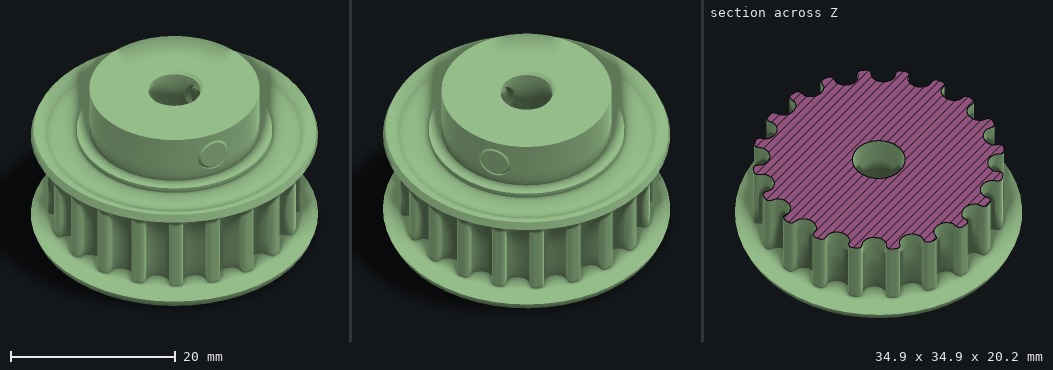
import cadquery as cq
import math

TOOTH_COUNT = 20
TIP_RADIUS = 15.34
LAND_WIDTH = 0.6
TIP_FILLET = 0.55
GROOVE_DEPTH = 2.06
SHOULDER_DISTANCE = 14.1
SHOULDER_HALF_WIDTH = 1.38

BODY_HEIGHT = 14.0
FLANGE_RADIUS = 17.46
RIM_RADIUS = 17.1
EDGE_HEIGHT = 0.94
INNER_FACE_HEIGHT = 1.62
INNER_FACE_RADIUS = 15.7
DISH_DEPTH = 0.65
DISH_FLOOR_RADIUS = 15.5
COLLAR_RADIUS = 11.88

TOTAL_HEIGHT = 20.24
HUB_RADIUS = 10.34
BORE_RADIUS = 3.175
BORE_CHAMFER = 0.35

SCREW_RADIUS = 2.083
SCREW_CHAMFER = 0.35
SCREW_HEIGHT = (BODY_HEIGHT + TOTAL_HEIGHT) / 2


def polar(radius, angle):
    return (radius * math.cos(angle), radius * math.sin(angle))


def mirrored(point):
    """Point on the other side of the X axis."""
    return (point[0], -point[1])


def rotated(point, angle):
    x, y = point
    return (
        x * math.cos(angle) - y * math.sin(angle),
        x * math.sin(angle) + y * math.cos(angle),
    )


def groove_outline():
    """Outline of one groove centred on +X, as (end, arc middle or None for a line) steps.

    The steps run from the end of one tooth land to the start of the next.
    """
    half_pitch = math.pi / TOOTH_COUNT
    land_edge_angle = half_pitch - LAND_WIDTH / 2 / TIP_RADIUS
    center_x, center_y = polar(TIP_RADIUS - TIP_FILLET, land_edge_angle)

    run_x = center_x - SHOULDER_DISTANCE
    run_y = center_y - SHOULDER_HALF_WIDTH
    flank_angle = math.atan2(run_y, run_x) - math.asin(TIP_FILLET / math.hypot(run_x, run_y))

    def on_fillet(angle):
        offset_x, offset_y = polar(TIP_FILLET, angle)
        return (center_x + offset_x, center_y + offset_y)

    tangent_angle = flank_angle - math.pi / 2
    flank_end = on_fillet(tangent_angle)
    fillet_middle = on_fillet((tangent_angle + land_edge_angle) / 2)
    land_edge = polar(TIP_RADIUS, land_edge_angle)
    shoulder = (SHOULDER_DISTANCE, SHOULDER_HALF_WIDTH)
    root = (TIP_RADIUS - GROOVE_DEPTH, 0)

    return [
        (mirrored(flank_end), mirrored(fillet_middle)),
        (mirrored(shoulder), None),
        (shoulder, root),
        (flank_end, None),
        (land_edge, fillet_middle),
        (rotated(mirrored(land_edge), 2 * half_pitch), polar(TIP_RADIUS, half_pitch)),
    ]


def make_teeth():
    """Toothed cylinder between the flanges, with a groove centred on the +X axis."""
    steps = groove_outline()
    pitch = 2 * math.pi / TOOTH_COUNT
    last_land_end = steps[-1][0]
    outline = (
        cq.Workplane("XY")
        .workplane(offset=INNER_FACE_HEIGHT)
        .moveTo(*rotated(last_land_end, -pitch))
    )
    for index in range(TOOTH_COUNT):
        for end, arc_middle in steps:
            end = rotated(end, index * pitch)
            if arc_middle is None:
                outline = outline.lineTo(*end)
            else:
                outline = outline.threePointArc(rotated(arc_middle, index * pitch), end)
    return outline.close().extrude(BODY_HEIGHT - 2 * INNER_FACE_HEIGHT)


def make_bottom_flange():
    """Flange at the lower end, dished on its underside around the collar."""
    profile = [
        (0, 0),
        (COLLAR_RADIUS, 0),
        (COLLAR_RADIUS, DISH_DEPTH),
        (DISH_FLOOR_RADIUS, DISH_DEPTH),
        (RIM_RADIUS, 0),
        (FLANGE_RADIUS, EDGE_HEIGHT),
        (INNER_FACE_RADIUS, INNER_FACE_HEIGHT),
        (0, INNER_FACE_HEIGHT),
    ]
    return cq.Workplane("XZ").polyline(profile).close().revolve(360, (0, 0, 0), (0, 1, 0))


def make_hub():
    hub_height = TOTAL_HEIGHT - BODY_HEIGHT
    return cq.Workplane("XY").workplane(offset=BODY_HEIGHT).circle(HUB_RADIUS).extrude(hub_height)


def make_bore():
    """Through bore with a chamfer at the hub end."""
    profile = [
        (0, 0),
        (BORE_RADIUS, 0),
        (BORE_RADIUS, TOTAL_HEIGHT - BORE_CHAMFER),
        (BORE_RADIUS + BORE_CHAMFER, TOTAL_HEIGHT),
        (0, TOTAL_HEIGHT),
    ]
    return cq.Workplane("XZ").polyline(profile).close().revolve(360, (0, 0, 0), (0, 1, 0))


def make_screw(angle):
    """Headless screw from the bore wall to the hub wall, turned by angle degrees from +X."""
    length = HUB_RADIUS - BORE_RADIUS
    return (
        cq.Workplane("YZ", origin=(BORE_RADIUS, 0, SCREW_HEIGHT))
        .circle(SCREW_RADIUS)
        .extrude(length)
        .edges()
        .chamfer(SCREW_CHAMFER)
        .rotate((0, 0, 0), (0, 0, 1), angle)
    )


def make_screw_hole(angle):
    """Hole from the bore axis out through the hub, turned by angle degrees from +X."""
    return (
        cq.Workplane("YZ", origin=(0, 0, SCREW_HEIGHT))
        .circle(SCREW_RADIUS)
        .extrude(2 * HUB_RADIUS)
        .rotate((0, 0, 0), (0, 0, 1), angle)
    )


bottom_flange = make_bottom_flange()
top_flange = bottom_flange.mirror("XY").translate((0, 0, BODY_HEIGHT))
result = make_teeth().union(bottom_flange).union(top_flange).union(make_hub())
result = result.cut(make_bore())
for screw_angle in (0, 90):
    result = result.cut(make_screw_hole(screw_angle))
    result = result.union(make_screw(screw_angle))